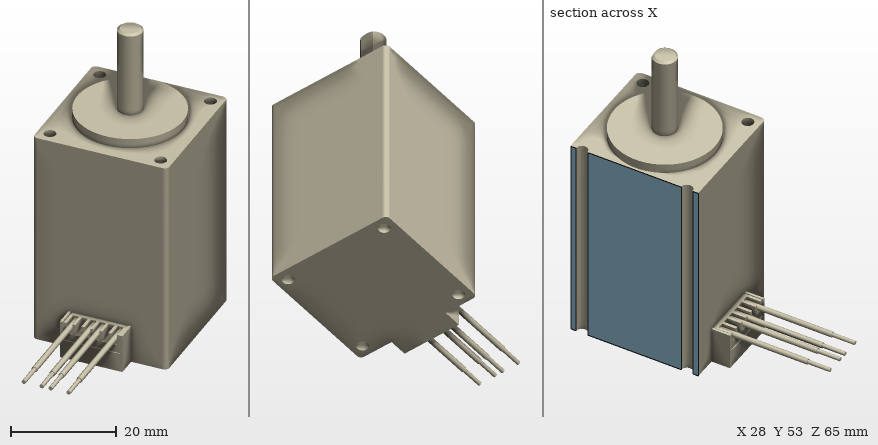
import cadquery as cq

body_width = 28.0
corner_radius = 1.0
cap_height = 8.0
stator_height = 29.0
body_height = stator_height + 2 * cap_height
body_front_y = -body_width / 2

hole_diameter = 2.5
hole_spacing = 23.0

boss_diameter = 22.0
boss_height = 2.0
boss_top = body_height + boss_height
overall_height = 65.0
shaft_diameter = 5.0
shaft_tip_inset = 0.5
shaft_tip_height = 0.4
flat_depth = 0.45
flat_start = 2.0

block_width = 13.0
block_depth = 4.0
pocket_width = 11.95
pocket_height = 4.0
pocket_floor = cap_height - pocket_height

plug_side_gap = 0.1
plug_center_x = 0.05
plug_setback = 0.2
plug_rim_drop = 0.1
plug_width = pocket_width - 2 * plug_side_gap
plug_depth = block_depth - plug_setback
plug_height = pocket_height - plug_rim_drop

slot_count = 6
slot_row_span = 9.3
slot_pitch = slot_row_span / (slot_count - 1)
slot_width = 1.25
slot_back_wall = 0.85
slot_floor_drop = 2.4
slot_floor = cap_height - slot_floor_drop

wired_slots = (0, 2, 3, 5)
wire_diameter = 1.2
conductor_diameter = 0.85
wire_reach = 24.95
bare_length = 4.95
wire_drop = 1.1
wire_center_z = cap_height - wire_drop


def body_section(base_z, height):
    """One rounded square section of the motor body with its four mounting holes."""
    return (
        cq.Workplane("XY", origin=(0, 0, base_z))
        .rect(body_width, body_width)
        .extrude(height)
        .edges("|Z")
        .fillet(corner_radius)
        .faces(">Z")
        .workplane()
        .rect(hole_spacing, hole_spacing, forConstruction=True)
        .vertices()
        .hole(hole_diameter)
    )


def make_shaft():
    """Shaft above the boss, with a bevelled tip and a flat on its +Y side."""
    radius = shaft_diameter / 2
    tip_radius = radius - shaft_tip_inset
    shaft = (
        cq.Workplane("XZ")
        .moveTo(0, boss_top)
        .lineTo(radius, boss_top)
        .lineTo(radius, overall_height - shaft_tip_height)
        .lineTo(tip_radius, overall_height)
        .lineTo(0, overall_height)
        .close()
        .revolve(360, (0, 0, 0), (0, 1, 0))
    )
    flat_cutter = (
        cq.Workplane("XY", origin=(0, radius - flat_depth, boss_top + flat_start))
        .box(shaft_diameter, shaft_diameter, overall_height, centered=(True, False, False))
    )
    return shaft.cut(flat_cutter)


def make_connector_block():
    """Block in front of the rear cap; its pocket is open at the top and the front."""
    block_front_y = body_front_y - block_depth
    block = (
        cq.Workplane("XY", origin=(0, block_front_y, 0))
        .box(block_width, block_depth, cap_height, centered=(True, False, False))
    )
    pocket = (
        cq.Workplane("XY", origin=(0, block_front_y, pocket_floor))
        .box(pocket_width, block_depth, pocket_height, centered=(True, False, False))
    )
    return block.cut(pocket)


def make_motor():
    """Body sections, boss, shaft and connector block as one solid."""
    rear_cap = body_section(0, cap_height)
    stator = body_section(cap_height, stator_height)
    front_cap = body_section(cap_height + stator_height, cap_height)
    boss = cq.Workplane("XY", origin=(0, 0, body_height)).circle(boss_diameter / 2).extrude(boss_height)
    motor = rear_cap
    for piece in (stator, front_cap, boss, make_shaft(), make_connector_block()):
        motor = motor.union(piece, clean=False)
    return motor


def slot_x(index):
    """X position of a slot, counted from the -X end of the row centred on the plug."""
    return plug_center_x + (index - (slot_count - 1) / 2) * slot_pitch


def make_wire(x):
    """Insulated wire running toward -Y from the back of its slot, with a bare tip."""
    slot_back_y = body_front_y - slot_back_wall
    insulation_length = wire_reach - bare_length - slot_back_wall
    return (
        cq.Workplane("XZ", origin=(x, slot_back_y, wire_center_z))
        .circle(wire_diameter / 2)
        .extrude(insulation_length)
        .faces("<Y")
        .workplane()
        .circle(conductor_diameter / 2)
        .extrude(bare_length)
    )


def make_plug():
    """Slotted plug together with its wires as one solid."""
    plug_front_y = body_front_y - plug_depth
    plug = (
        cq.Workplane("XY", origin=(plug_center_x, plug_front_y, pocket_floor))
        .box(plug_width, plug_depth, plug_height, centered=(True, False, False))
    )
    for index in range(slot_count):
        slot = (
            cq.Workplane("XY", origin=(slot_x(index), plug_front_y, slot_floor))
            .box(slot_width, plug_depth - slot_back_wall, plug_height, centered=(True, False, False))
        )
        plug = plug.cut(slot)
    for index in wired_slots:
        plug = plug.union(make_wire(slot_x(index)))
    return plug


motor = make_motor()
plug = make_plug()

result = cq.Compound.makeCompound([motor.solids().val(), plug.solids().val()])